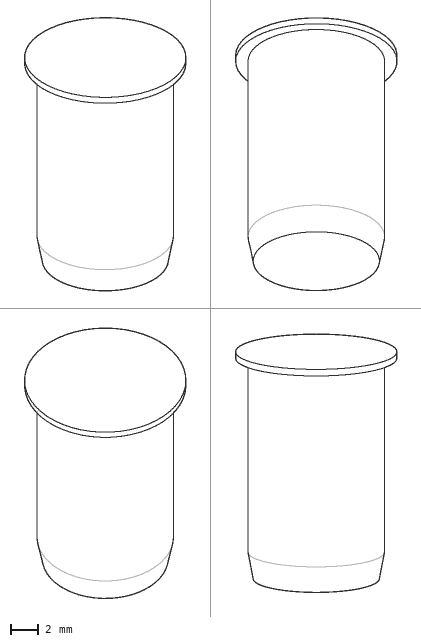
import cadquery as cq

total_height = 17.56
body_diameter = 10.0
tip_diameter = 9.24
taper_height = 2.0
flange_diameter = 11.8
flange_thickness = 0.5
dome_rise = 0.56

body_radius = body_diameter / 2
tip_radius = tip_diameter / 2
flange_radius = flange_diameter / 2
flange_top = total_height - dome_rise
flange_bottom = flange_top - flange_thickness

dome_radius = (flange_radius**2 + dome_rise**2) / (2 * dome_rise)
dome_mid_x = flange_radius / 2
dome_mid_z = total_height - dome_radius + (dome_radius**2 - dome_mid_x**2) ** 0.5

profile = (
    cq.Workplane("XZ")
    .lineTo(tip_radius, 0)
    .lineTo(body_radius, taper_height)
    .lineTo(body_radius, flange_bottom)
    .lineTo(flange_radius, flange_bottom)
    .lineTo(flange_radius, flange_top)
    .threePointArc((dome_mid_x, dome_mid_z), (0, total_height))
    .close()
)

result = profile.revolve(360, (0, 0), (0, 1))